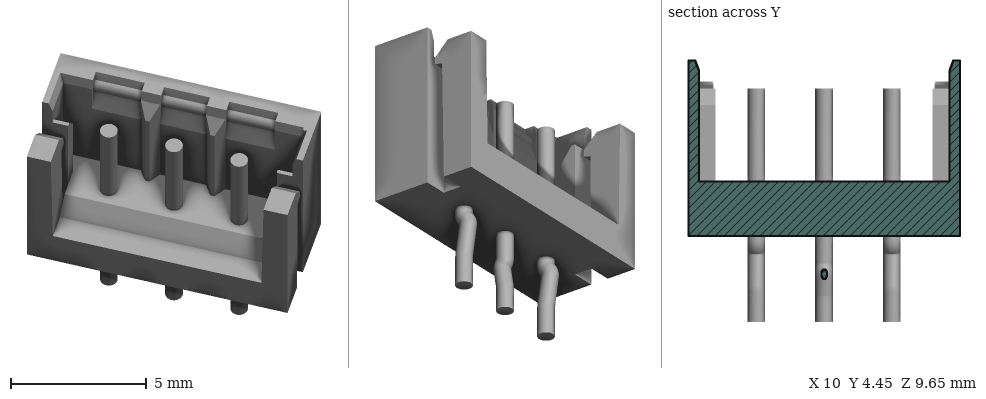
import math

import cadquery as cq


WIDTH = 10.0
DEPTH = 4.45
HEIGHT = 6.48
HALF_WIDTH = WIDTH / 2
BACK_Y = DEPTH / 2
FRONT_Y = -DEPTH / 2

SHELL_FRONT_Y = -0.2
CAVITY_BACK_Y = 1.2
CAVITY_HALF_WIDTH = 4.6
FLOOR_Z = 2.03
LEAD_IN_HEIGHT = 0.4
LEAD_IN_Z = HEIGHT - LEAD_IN_HEIGHT
BACK_LEAD_IN = 0.12
SIDE_LEAD_IN = 0.15

LEDGE_INNER_X = 4.0
LEDGE_TOP_Z = 5.43
LEDGE_FLAT_BACK_Y = -0.05
LEDGE_BACK_Y = 0.42
LEDGE_SLOPE_DROP = 0.6

PITCH = 2.5
PIN_DIAMETER = 0.65
PIN_RADIUS = PIN_DIAMETER / 2
PIN_TOP_Z = 5.43
PIN_BOTTOM_Z = -3.17
BEND_RADIUS = 0.33
LEAN_ANGLE = 8.7
OUTER_KINK_Z = -0.21
OUTER_KINK_ANGLE = 45.0
OUTER_RETURN_RADIUS = 0.95
MIDDLE_KINK_Z = -1.01
MIDDLE_KINK_ANGLE = 35.0
MIDDLE_RETURN_RADIUS = 0.42

RIB_BASE_WIDTH = 0.74
RIB_TIP_WIDTH = 0.16
RIB_TIP_Y = 0.77
RIB_TIP_TOP_Z = 5.51
RECESS_OUTER_X = 3.5
RECESS_TOP_Y = 1.73
RECESS_BOTTOM_Z = 4.97
BEAD_TOP_Z = 6.16
BEAD_BOTTOM_Z = 5.69
BEAD_BULGE = 0.13

BRIDGE_HALF_WIDTH = LEDGE_INNER_X
FLOOR_FRONT_Y = -0.67
SILL_Z = 1.41
SILL_BACK_Y = FLOOR_FRONT_Y - (FLOOR_Z - SILL_Z)
POST_TOP_Z = 5.68
POST_TOP_INNER_X = 4.08
POST_BASE_BACK_Y = -0.96
POST_NECK_BACK_Y = -0.88
HOOK_BACK_Y = -0.56
HOOK_CHAMFER = 0.58
HOOK_TIP_BOTTOM_Z = 4.83
HOOK_UNDERSIDE_Z = 4.75


def box(x0, x1, y0, y1, z0, z1):
    """Axis-aligned block between two corners."""
    return cq.Workplane("XY").box(x1 - x0, y1 - y0, z1 - z0, centered=False).translate((x0, y0, z0))


def along_x(profile, x0, x1):
    """Extrude a closed (y, z) polygon from x0 to x1."""
    return cq.Workplane("YZ", origin=(x0, 0, 0)).polyline(profile).close().extrude(x1 - x0)


def lead_in():
    """Flared mouth of the cavity: mitred at the -X corner, square-ended at the +X corner."""
    lower_depth = CAVITY_BACK_Y - SHELL_FRONT_Y
    lower_width = 2 * CAVITY_HALF_WIDTH
    upper_depth = lower_depth + BACK_LEAD_IN
    upper_width = lower_width + SIDE_LEAD_IN
    flare = (
        cq.Workplane("XY", origin=(0, SHELL_FRONT_Y, LEAD_IN_Z))
        .center(0, lower_depth / 2)
        .rect(lower_width, lower_depth)
        .workplane(offset=LEAD_IN_HEIGHT)
        .center(-SIDE_LEAD_IN / 2, BACK_LEAD_IN / 2)
        .rect(upper_width, upper_depth)
        .loft(ruled=True)
    )
    side = (
        cq.Workplane("XZ", origin=(0, CAVITY_BACK_Y, 0))
        .polyline([
            (CAVITY_HALF_WIDTH, LEAD_IN_Z),
            (CAVITY_HALF_WIDTH + SIDE_LEAD_IN, HEIGHT),
            (CAVITY_HALF_WIDTH, HEIGHT),
        ])
        .close()
        .extrude(lower_depth)
    )
    return flare.union(side)


def recess(x0, x1):
    """Sloped recess in the back wall with a rounded bead running across it."""
    slope = (RECESS_TOP_Y - CAVITY_BACK_Y) / (HEIGHT - RECESS_BOTTOM_Z)

    def slope_y(z):
        return CAVITY_BACK_Y + slope * (z - RECESS_BOTTOM_Z)

    bead_middle_z = (BEAD_TOP_Z + BEAD_BOTTOM_Z) / 2
    slope_angle = math.atan(slope)
    bead_crest = (
        slope_y(bead_middle_z) - BEAD_BULGE * math.cos(slope_angle),
        bead_middle_z + BEAD_BULGE * math.sin(slope_angle),
    )
    return (
        cq.Workplane("YZ", origin=(x0, 0, 0))
        .moveTo(CAVITY_BACK_Y, RECESS_BOTTOM_Z)
        .lineTo(slope_y(BEAD_BOTTOM_Z), BEAD_BOTTOM_Z)
        .threePointArc(bead_crest, (slope_y(BEAD_TOP_Z), BEAD_TOP_Z))
        .lineTo(RECESS_TOP_Y, HEIGHT)
        .lineTo(CAVITY_BACK_Y, HEIGHT)
        .close()
        .extrude(x1 - x0)
    )


def rib(x):
    """Tapered rib on the back wall with a sloping top."""
    blank = (
        cq.Workplane("XY", origin=(x, 0, FLOOR_Z))
        .polyline([
            (-RIB_BASE_WIDTH / 2, CAVITY_BACK_Y),
            (-RIB_TIP_WIDTH / 2, RIB_TIP_Y),
            (RIB_TIP_WIDTH / 2, RIB_TIP_Y),
            (RIB_BASE_WIDTH / 2, CAVITY_BACK_Y),
        ])
        .close()
        .extrude(LEAD_IN_Z - FLOOR_Z)
    )
    above_slope = along_x(
        [(CAVITY_BACK_Y, LEAD_IN_Z), (RIB_TIP_Y, RIB_TIP_TOP_Z), (RIB_TIP_Y, LEAD_IN_Z)],
        x - RIB_BASE_WIDTH / 2,
        x + RIB_BASE_WIDTH / 2,
    )
    return blank.cut(above_slope)


def rear_shell():
    """Back wall, end walls and floor, with the lead-in, recesses, ribs and ledges."""
    shell = box(-HALF_WIDTH, HALF_WIDTH, SHELL_FRONT_Y, BACK_Y, 0, HEIGHT)
    shell = shell.cut(box(
        -CAVITY_HALF_WIDTH, CAVITY_HALF_WIDTH, SHELL_FRONT_Y, CAVITY_BACK_Y, FLOOR_Z, HEIGHT
    ))
    shell = shell.cut(lead_in())

    rib_centers = [-PITCH / 2, PITCH / 2]
    recess_starts = [-RECESS_OUTER_X] + [x + RIB_BASE_WIDTH / 2 for x in rib_centers]
    recess_ends = [x - RIB_BASE_WIDTH / 2 for x in rib_centers] + [RECESS_OUTER_X]
    for x0, x1 in zip(recess_starts, recess_ends):
        shell = shell.cut(recess(x0, x1))
    for x in rib_centers:
        shell = shell.union(rib(x))

    ledge_profile = [
        (SHELL_FRONT_Y, FLOOR_Z),
        (SHELL_FRONT_Y, LEDGE_TOP_Z),
        (LEDGE_FLAT_BACK_Y, LEDGE_TOP_Z),
        (LEDGE_BACK_Y, LEDGE_TOP_Z - LEDGE_SLOPE_DROP),
        (LEDGE_BACK_Y, FLOOR_Z),
    ]
    for x0, x1 in [(-CAVITY_HALF_WIDTH, -LEDGE_INNER_X), (LEDGE_INNER_X, CAVITY_HALF_WIDTH)]:
        shell = shell.union(along_x(ledge_profile, x0, x1))
    return shell


def front_frame():
    """Hooked front wall opened above the sill into two posts."""
    wall = along_x(
        [
            (FRONT_Y, 0),
            (FRONT_Y, POST_TOP_Z),
            (HOOK_BACK_Y - HOOK_CHAMFER, POST_TOP_Z),
            (HOOK_BACK_Y, POST_TOP_Z - HOOK_CHAMFER),
            (HOOK_BACK_Y, HOOK_TIP_BOTTOM_Z),
            (POST_NECK_BACK_Y, HOOK_UNDERSIDE_Z),
            (POST_BASE_BACK_Y, 0),
        ],
        -HALF_WIDTH,
        HALF_WIDTH,
    )
    opening = (
        cq.Workplane("XZ", origin=(0, BACK_Y, 0))
        .polyline([
            (-BRIDGE_HALF_WIDTH, SILL_Z),
            (BRIDGE_HALF_WIDTH, SILL_Z),
            (POST_TOP_INNER_X, POST_TOP_Z),
            (-POST_TOP_INNER_X, POST_TOP_Z),
        ])
        .close()
        .extrude(DEPTH)
    )
    return wall.cut(opening)


def bridge():
    """Base joining the front frame to the rear shell, sloping from floor to sill."""
    return along_x(
        [
            (SHELL_FRONT_Y, 0),
            (SHELL_FRONT_Y, FLOOR_Z),
            (FLOOR_FRONT_Y, FLOOR_Z),
            (SILL_BACK_Y, SILL_Z),
            (FRONT_Y, SILL_Z),
            (FRONT_Y, 0),
        ],
        -BRIDGE_HALF_WIDTH,
        BRIDGE_HALF_WIDTH,
    )


def pin(x, side, kink_z, kink_angle, return_radius):
    """Round pin with a retention kink toward side (+1 is +Y, -1 is -Y) starting at kink_z."""
    kink = math.radians(kink_angle)
    lean = math.radians(LEAN_ANGLE)

    lean_offset = BEND_RADIUS * (1 - 2 * math.cos(kink) + math.cos(lean))
    lean_z = kink_z - BEND_RADIUS * (2 * math.sin(kink) + math.sin(lean))
    return_offset = return_radius * (1 - math.cos(lean))
    return_z = lean_z - (lean_offset - return_offset) / math.tan(lean)

    def first_bend(angle):
        offset = BEND_RADIUS * (1 - math.cos(angle))
        return (side * offset, kink_z - BEND_RADIUS * math.sin(angle))

    def second_bend(angle):
        offset = BEND_RADIUS * (1 - 2 * math.cos(kink) + math.cos(angle))
        return (side * offset, kink_z - BEND_RADIUS * (2 * math.sin(kink) - math.sin(angle)))

    def return_bend(angle):
        offset = return_radius * (1 - math.cos(angle))
        return (side * offset, return_z - return_radius * (math.sin(lean) - math.sin(angle)))

    path = (
        cq.Workplane("YZ", origin=(x, 0, 0))
        .moveTo(0, PIN_TOP_Z)
        .lineTo(0, kink_z)
        .threePointArc(first_bend(kink / 2), first_bend(kink))
        .threePointArc(second_bend((kink - lean) / 2), second_bend(-lean))
        .lineTo(*return_bend(lean))
        .threePointArc(return_bend(lean / 2), return_bend(0))
        .lineTo(0, PIN_BOTTOM_Z)
    )
    return cq.Workplane("XY", origin=(x, 0, PIN_TOP_Z)).circle(PIN_RADIUS).sweep(path)


result = rear_shell().union(front_frame()).union(bridge())
for pin_x in (-PITCH, PITCH):
    result = result.union(pin(pin_x, -1, OUTER_KINK_Z, OUTER_KINK_ANGLE, OUTER_RETURN_RADIUS))
result = result.union(pin(0, 1, MIDDLE_KINK_Z, MIDDLE_KINK_ANGLE, MIDDLE_RETURN_RADIUS))